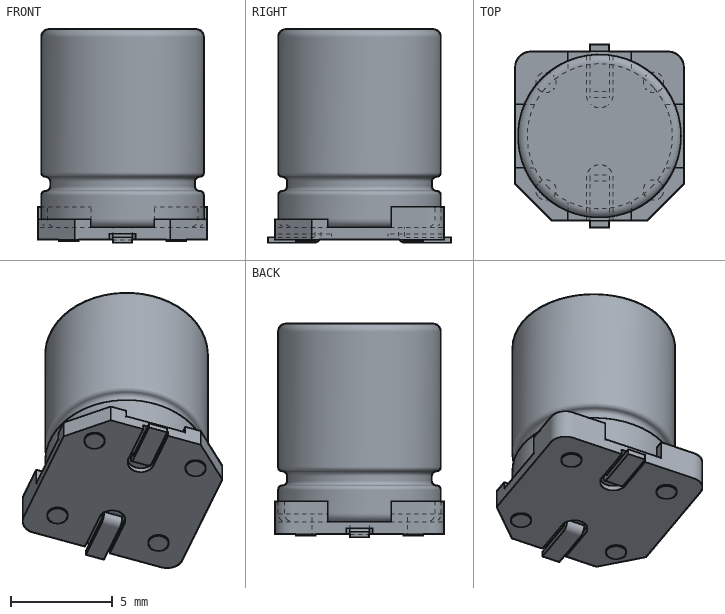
import cadquery as cq
import math

total_height = 10.5
standoff = 0.17
foot_height = 0.08

base_size = 8.3
base_half = base_size / 2
low_wall_height = 1.0
high_wall_height = 1.6
seat_thickness = 0.6
corner_chamfer = 1.8
corner_radius = 0.8
gap_width = 3.1
foot_diameter = 1.0
foot_offset = 2.64

seat_z = standoff + seat_thickness
low_wall_z = standoff + low_wall_height

can_diameter = 8.0
can_radius = can_diameter / 2
neck_diameter = 7.12
neck_radius = neck_diameter / 2
can_edge_radius = 0.4
groove_center_z = 2.9
neck_height = 0.24
groove_arc = (can_radius - neck_radius) / 2

lead_span = 9.0
lead_width = 0.94
lead_thickness = 0.29
bend_inner_radius = 0.08
bend_outer_radius = bend_inner_radius + lead_thickness
lead_inner_y = 1.9

relief_width = 1.3
relief_height = 0.28
relief_end_y = lead_inner_y + lead_thickness / 2


def rounded_step(path, start, end, leaves_along_z):
    """Add a quarter-circle arc from start to end, each (radius, height)."""
    diagonal = math.sqrt(0.5)
    step_r = end[0] - start[0]
    step_z = end[1] - start[1]
    if leaves_along_z:
        middle = (start[0] + step_r * (1 - diagonal), start[1] + step_z * diagonal)
    else:
        middle = (start[0] + step_r * diagonal, start[1] + step_z * (1 - diagonal))
    return path.threePointArc(middle, end)


def make_can():
    """Revolved can with rounded ends and a crimped groove."""
    end_flat_radius = can_radius - can_edge_radius
    middle_radius = neck_radius + groove_arc
    neck_low = groove_center_z - neck_height / 2
    neck_high = groove_center_z + neck_height / 2
    groove_low = neck_low - 2 * groove_arc
    groove_high = neck_high + 2 * groove_arc
    lower_middle = (middle_radius, neck_low - groove_arc)
    upper_middle = (middle_radius, neck_high + groove_arc)
    lower_edge = (can_radius, seat_z + can_edge_radius)
    upper_edge = (can_radius, total_height - can_edge_radius)

    path = cq.Workplane("XZ").moveTo(0, seat_z).lineTo(end_flat_radius, seat_z)
    path = rounded_step(path, (end_flat_radius, seat_z), lower_edge, False)
    path = path.lineTo(can_radius, groove_low)
    path = rounded_step(path, (can_radius, groove_low), lower_middle, True)
    path = rounded_step(path, lower_middle, (neck_radius, neck_low), False)
    path = path.lineTo(neck_radius, neck_high)
    path = rounded_step(path, (neck_radius, neck_high), upper_middle, True)
    path = rounded_step(path, upper_middle, (can_radius, groove_high), False)
    path = path.lineTo(*upper_edge)
    path = rounded_step(path, upper_edge, (end_flat_radius, total_height), True)
    profile = path.lineTo(0, total_height).close()
    return profile.revolve(360, (0, 0, 0), (0, 1, 0))


def make_lead():
    """L-shaped lead on the +Y side, reaching up to the can."""
    flat = cq.Workplane("XY").box(
        lead_width, lead_span / 2 - lead_inner_y, lead_thickness, centered=(True, False, False)
    )
    upright = cq.Workplane("XY").box(
        lead_width, lead_thickness, seat_z, centered=(True, False, False)
    )
    lead = flat.union(upright)
    outside_corner = (0, 0, 0)
    lead = lead.edges(cq.selectors.NearestToPointSelector(outside_corner)).fillet(bend_outer_radius)
    inside_corner = (0, lead_thickness, lead_thickness)
    lead = lead.edges(cq.selectors.NearestToPointSelector(inside_corner)).fillet(bend_inner_radius)
    return lead.translate((0, lead_inner_y, 0))


def make_plate():
    """Base block with raised +Y corners, chamfered -Y corners and open side gaps."""
    underside = cq.Workplane("XY").workplane(offset=standoff)
    plate = underside.rect(base_size, base_size).extrude(high_wall_height)
    plate = plate.edges("|Z and <Y").chamfer(corner_chamfer)
    plate = plate.edges("|Z and >Y").fillet(corner_radius)
    above_low_wall = (
        cq.Workplane("XY")
        .box(base_size, base_half + gap_width / 2, high_wall_height, centered=(True, False, False))
        .translate((0, -base_half, low_wall_z))
    )
    plate = plate.cut(above_low_wall)
    for length_x, length_y in [(base_size, gap_width), (gap_width, base_size)]:
        seat_plane = cq.Workplane("XY").workplane(offset=seat_z)
        gap = seat_plane.rect(length_x, length_y).extrude(high_wall_height)
        plate = plate.cut(gap)
    return plate


def make_feet():
    """Four round pads under the base."""
    return (
        cq.Workplane("XY")
        .workplane(offset=standoff - foot_height)
        .rect(2 * foot_offset, 2 * foot_offset, forConstruction=True)
        .vertices()
        .circle(foot_diameter / 2)
        .extrude(foot_height)
    )


def make_relief():
    """Round-ended slot under the +Y edge of the base."""
    length = base_half - relief_end_y
    end = cq.Workplane("XY").center(0, relief_end_y).circle(relief_width / 2).extrude(relief_height)
    straight = (
        cq.Workplane("XY")
        .box(relief_width, length, relief_height, centered=(True, False, False))
        .translate((0, relief_end_y, 0))
    )
    return end.union(straight).translate((0, 0, standoff))


capacitor = make_can()
base = make_plate().union(make_feet())
for angle in (0, 180):
    capacitor = capacitor.union(make_lead().rotate((0, 0, 0), (0, 0, 1), angle))
    base = base.cut(make_relief().rotate((0, 0, 0), (0, 0, 1), angle))

base = base.cut(capacitor)

result = cq.Compound.makeCompound([capacitor.val(), base.val()])